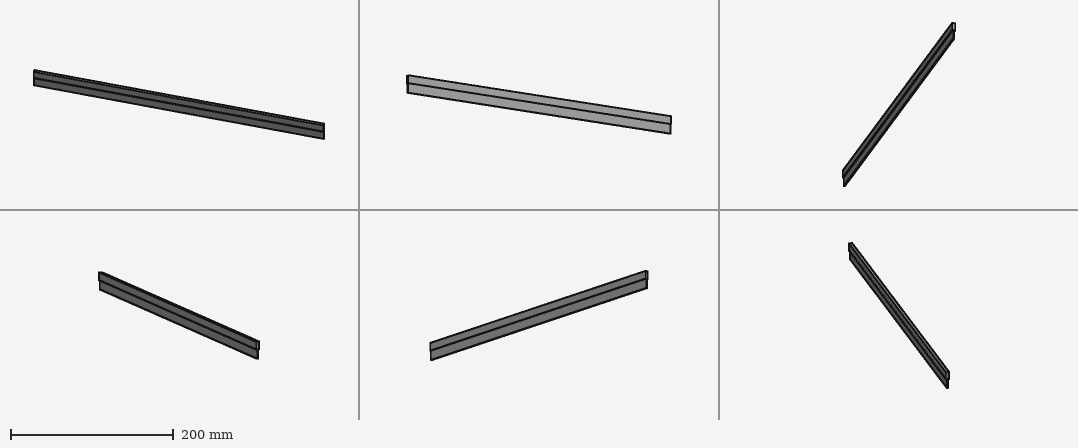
import cadquery as cq

length = 372.0
height = 22.0
head_thickness = 4.0
head_height = 10.0
blade_thickness = 1.67

blade_height = height - head_height

blade = cq.Workplane("XY").box(length, blade_thickness, blade_height, centered=(True, True, False))

head = (
    cq.Workplane("XY")
    .workplane(offset=blade_height)
    .box(length, head_thickness, head_height, centered=(True, True, False))
)

result = blade.union(head)